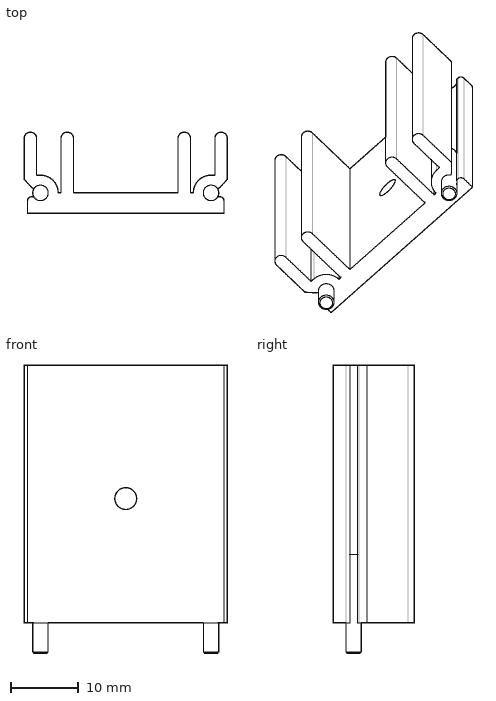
import cadquery as cq
import math

total_height = 42.5
body_height = 38.0
half_width = 15.0
depth = 12.0

plate_half_width = 14.5
plate_thickness = 3.05
lip_radius = 0.6
lip_top = 2.45

fin_thickness = 1.85
inner_fin_center = 8.63
outer_fin_center = half_width - fin_thickness / 2
outer_fin_bottom = 5.0

channel_x = 12.6
channel_y = 3.0
channel_radius = 1.15
channel_wall_radius = 2.65
wall_top = channel_y + channel_wall_radius
channel_mouth_top = 3.6

nose_x = 13.85
nose_y = 3.8

pin_engagement = 10.07
pin_protrusion = total_height - body_height
pin_chamfer = 0.2

hole_diameter = 3.2
hole_height = 18.3


def channel_edge_x(y):
    """X where the channel circle reaches height y on its open side."""
    return channel_x + math.sqrt(channel_radius**2 - (y - channel_y) ** 2)


def make_half_profile():
    """Right half of the extruded section, from the centre plane outwards."""
    fin_radius = fin_thickness / 2
    fin_shoulder = depth - fin_radius
    inner_fin_near = inner_fin_center - fin_radius
    inner_fin_far = inner_fin_center + fin_radius
    outer_fin_near = outer_fin_center - fin_radius

    wall_foot_x = channel_x - math.sqrt(channel_wall_radius**2 - (plate_thickness - channel_y) ** 2)
    wall_mid = channel_wall_radius * math.sqrt(0.5)

    return (
        cq.Workplane("XY")
        .lineTo(plate_half_width, 0)
        .lineTo(plate_half_width, lip_top - lip_radius)
        .radiusArc((plate_half_width - lip_radius, lip_top), -lip_radius)
        .lineTo(channel_edge_x(lip_top), lip_top)
        .threePointArc(
            (channel_x - channel_radius, channel_y),
            (channel_edge_x(channel_mouth_top), channel_mouth_top),
        )
        .lineTo(nose_x, nose_y)
        .lineTo(half_width, outer_fin_bottom)
        .lineTo(half_width, fin_shoulder)
        .threePointArc((outer_fin_center, depth), (outer_fin_near, fin_shoulder))
        .lineTo(outer_fin_near, wall_top)
        .lineTo(channel_x, wall_top)
        .threePointArc(
            (channel_x - wall_mid, channel_y + wall_mid),
            (wall_foot_x, plate_thickness),
        )
        .lineTo(inner_fin_far, plate_thickness)
        .lineTo(inner_fin_far, fin_shoulder)
        .threePointArc((inner_fin_center, depth), (inner_fin_near, fin_shoulder))
        .lineTo(inner_fin_near, plate_thickness)
        .lineTo(0, plate_thickness)
        .close()
    )


def make_pin():
    """Pin seated in the lower end of the right channel and standing out below it."""
    return (
        cq.Workplane("XY", origin=(channel_x, channel_y, -pin_protrusion))
        .circle(channel_radius)
        .extrude(pin_protrusion + pin_engagement)
        .faces("<Z")
        .chamfer(pin_chamfer)
    )


def make_hole():
    return (
        cq.Workplane("XZ")
        .center(0, hole_height)
        .circle(hole_diameter / 2)
        .extrude(-plate_thickness)
    )


right_half = make_half_profile().extrude(body_height).union(make_pin())
left_half = right_half.mirror("YZ")
result = right_half.union(left_half).cut(make_hole()).clean()